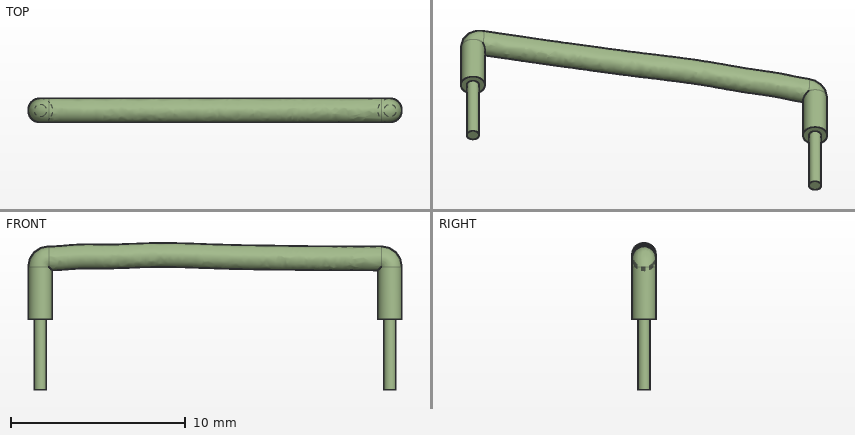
import cadquery as cq

overall_length = 21.4
sleeve_diameter = 1.4
pin_diameter = 0.7
pin_length = 4.02
sleeve_length = 3.02
bend_radius = 0.482

wave_points = [
    (3.0, 0.1),
    (4.28, 0.1),
    (7.38, 0.2),
    (9.63, 0.15),
    (11.55, 0.09),
    (13.9, 0.05),
]

sleeve_radius = sleeve_diameter / 2
leg_x = overall_length / 2 - sleeve_radius
elbow_x = leg_x - bend_radius
elbow_z = pin_length + sleeve_length
tube_z = elbow_z + bend_radius


def make_leg(side):
    """Pin with its vertical sleeve; side is -1 for left and 1 for right."""
    pin = cq.Workplane("XY").center(side * leg_x, 0).circle(pin_diameter / 2).extrude(elbow_z)
    sleeve = (
        cq.Workplane("XY", origin=(side * leg_x, 0, pin_length))
        .circle(sleeve_radius)
        .extrude(sleeve_length)
    )
    return pin.union(sleeve)


def make_elbow(side):
    """Quarter turn of the tube section lying outside the bend axis."""
    half_chord = (sleeve_radius**2 - bend_radius**2) ** 0.5
    axis_x = side * elbow_x
    return (
        cq.Workplane("XY", origin=(axis_x, 0, elbow_z))
        .moveTo(0, -half_chord)
        .threePointArc((side * (bend_radius + sleeve_radius), 0), (0, half_chord))
        .close()
        .revolve(90, (0, 0), (0, -side))
    )


def make_tube():
    """Horizontal tube swept along its gently wavy centre line."""
    path_points = [(-elbow_x, tube_z)]
    for distance, rise in wave_points:
        path_points.append((distance - overall_length / 2, tube_z + rise))
    path_points.append((elbow_x, tube_z))
    path = cq.Workplane("XZ").spline(path_points, tangents=[(1, 0), (1, 0)])
    return (
        cq.Workplane("YZ", origin=(-elbow_x, 0, tube_z))
        .circle(sleeve_radius)
        .sweep(path)
    )


result = make_tube()
for side in (-1, 1):
    result = result.union(make_elbow(side)).union(make_leg(side))